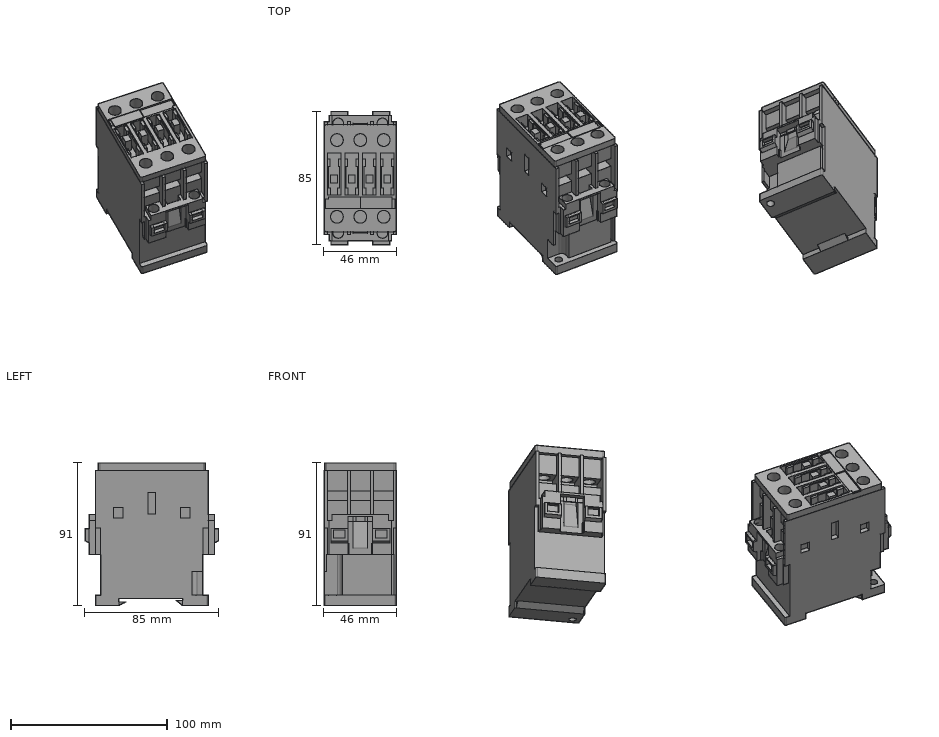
import cadquery as cq

WIDTH = 46.0
LENGTH = 85.0
HEIGHT = 91.0
BODY_LENGTH = 72.0
WAIST_LENGTH = 65.2
HALF_WIDTH = WIDTH / 2
BODY_Y = BODY_LENGTH / 2
WAIST_Y = WAIST_LENGTH / 2
BOTH_ENDS = (-1, 1)
BOTH_SIDES = (-1, 1)

FOOT_TOP = 6.6
BLOCK_BOTTOM = 32.5
WALL_BOTTOM = 49.3
SHOULDER_TOP = 54.1
BLOCK_TOP = 58.1
BODY_TOP = 86.2

FOOT_RADIUS = 0.9
RAIL_DEPTH = 4.4
RAIL_FRONT_Y = -19.6
RAIL_BACK_Y = 21.0
FRONT_HOOK_TIP = (-15.4, 3.3)
FRONT_HOOK_WIDTH = 44.0
BACK_HOOK_TIP = (16.5, 2.3)
BACK_HOOK_WIDTH = 20.0

WALL_THICKNESS = 2.0
INNER_X = HALF_WIDTH - WALL_THICKNESS
CHAMBER_Y = 31.0
RIB_X = 7.3
RIB_WIDTH = 1.9
CLAMP_BOTTOM = 66.85
CLAMP_TOP = 73.0
CLAMP_Y = 20.0

BLOCK_Y = 40.0
BLOCK_HALF_WIDTH = 18.1
SHOULDER_HALF_WIDTH = 19.9
COIL_HOLE_X = 14.1
COIL_HOLE_Y = 34.9
COIL_HOLE_DIAMETER = 6.8
COIL_HOLE_DEPTH = 15.0

RECESS_HALF_WIDTH = 7.9
RECESS_TOP = 56.7
GUIDE_WIDTH = 0.7
GUIDE_DEPTH = 1.5
GUIDE_TOP = 39.6
LATCH_HALF_WIDTH = 4.6
LATCH_TOP = 53.7
LATCH_BOTTOM = 36.6
LATCH_OPENING_Y = 35.0
STRIP_TAB_HALF_WIDTH = 2.9
STRIP_DEPTH = 0.5

CLIP_INNER_X = RECESS_HALF_WIDTH
CLIP_OUTER_X = 18.8
CLIP_TOP = 49.0
CLIP_LIP = 41.3
CLIP_BOTTOM = 39.9
CLIP_POCKET_INNER_X = 9.6
CLIP_POCKET_OUTER_X = 17.0
CLIP_POCKET_TOP = 48.3
CLIP_POCKET_BOTTOM = 43.2

NOTCH_Y = -25.7
NOTCH_X = -11.4
NOTCH_RADIUS = 3.2
NOTCH_SIDE_TOP = 21.6
NOTCH_WALL_X = -21.4
GROOVE_X = 19.95
GROOVE_WIDTH = 1.55
MOUNT_HOLE_X = -17.7
MOUNT_HOLE_Y = -30.5
MOUNT_HOLE_DIAMETER = 4.9

SIDE_SLOT_WIDTH = 5.0
SIDE_SLOT_BOTTOM = 58.4
SIDE_SLOT_TOP = 72.0
SIDE_SLOT_DEPTH = 3.3
SIDE_SQUARE_Y = 21.35
SIDE_SQUARE_WIDTH = 6.0
SIDE_SQUARE_BOTTOM = 55.8
SIDE_SQUARE_TOP = 62.5
SIDE_SQUARE_DEPTH = 3.0

CAP_WIDTH = 45.6
CAP_LENGTH = 68.3
CAP_RADIUS = 1.2
SCREW_PITCH_X = 14.9
SCREW_ROW_SPACING = 48.9
SCREW_CENTER_Y = -0.15
SCREW_HOLE_DIAMETER = 8.1

WINDOW_COUNT = 4
WINDOW_PITCH = 11.3
WINDOW_CENTER_X = 0.2
WINDOW_WIDTH = 8.6
WINDOW_BACK = 16.2
WINDOW_FRONT = -10.7
WINDOW_DEPTH = 10.0
LEDGE_DEPTH = 1.2
LEDGE_BACK = 12.2
UPPER_LEDGE_END = 7.5
LOWER_LEDGE_START = -6.3
UPPER_GAP = 5.4
MIDDLE_GAP = 7.05
LOWER_GAP = 4.7
POST_WIDTH = 4.2
POST_BACK = 2.1
POST_FRONT = -3.1
POST_DROP = 0.6

LABEL_FRONT = -19.2
LABEL_BACK = -11.9
LABEL_EAR_BACK = -13.3
LABEL_HALF_WIDTH = 20.3
LABEL_EAR_HALF_WIDTH = 22.1
LABEL_DEPTH = 1.3
LABEL_PLATE_DROP = 0.4


def box(x0, x1, y0, y1, z0, z1):
    """Box between two corners given in any order."""
    size = (abs(x1 - x0), abs(y1 - y0), abs(z1 - z0))
    return cq.Workplane("XY").box(*size).translate(((x0 + x1) / 2, (y0 + y1) / 2, (z0 + z1) / 2))


def wide_box(half_width, y0, y1, z0, z1):
    """Box centred on X."""
    return box(-half_width, half_width, y0, y1, z0, z1)


def side_prism(points, x0, x1):
    """Prism along X from a closed outline of (y, z) points."""
    return cq.Workplane("YZ").polyline(points).close().extrude(x1 - x0).translate((x0, 0, 0))


def hole(x, y, top, depth, diameter):
    """Vertical cylinder reaching down from the given level."""
    return cq.Workplane("XY").circle(diameter / 2).extrude(depth).translate((x, y, top - depth))


def make_housing():
    foot = wide_box(HALF_WIDTH, -BODY_Y, BODY_Y, 0, FOOT_TOP).edges("|Z").fillet(FOOT_RADIUS)
    waist = wide_box(HALF_WIDTH, -WAIST_Y, WAIST_Y, FOOT_TOP, WALL_BOTTOM)
    block_root = wide_box(INNER_X, -BODY_Y, BODY_Y, BLOCK_BOTTOM, WALL_BOTTOM)
    upper = wide_box(HALF_WIDTH, -BODY_Y, BODY_Y, WALL_BOTTOM, BODY_TOP)
    return foot.union(waist).union(block_root).union(upper)


def cut_rail_channel(part):
    part = part.cut(wide_box(HALF_WIDTH, RAIL_FRONT_Y, RAIL_BACK_Y, 0, RAIL_DEPTH))
    front_hook = [(RAIL_FRONT_Y, 0), FRONT_HOOK_TIP, (RAIL_FRONT_Y, FRONT_HOOK_TIP[1])]
    back_hook = [(RAIL_BACK_Y, 0), BACK_HOOK_TIP, (RAIL_BACK_Y, BACK_HOOK_TIP[1])]
    part = part.union(side_prism(front_hook, -FRONT_HOOK_WIDTH / 2, FRONT_HOOK_WIDTH / 2))
    return part.union(side_prism(back_hook, -BACK_HOOK_WIDTH / 2, BACK_HOOK_WIDTH / 2))


def cut_chambers(part, end):
    """Open the three terminal chambers of one end, with a wire slot in each."""
    rib_inner = RIB_X - RIB_WIDTH / 2
    rib_outer = RIB_X + RIB_WIDTH / 2
    for x0, x1 in ((-INNER_X, -rib_outer), (-rib_inner, rib_inner), (rib_outer, INNER_X)):
        part = part.cut(box(x0, x1, end * CHAMBER_Y, end * BODY_Y, SHOULDER_TOP, BODY_TOP))
        part = part.cut(box(x0, x1, end * CLAMP_Y, end * CHAMBER_Y, CLAMP_BOTTOM, CLAMP_TOP))
    return part


def add_terminal_block(part, end):
    part = part.union(wide_box(BLOCK_HALF_WIDTH, end * CHAMBER_Y, end * BLOCK_Y, BLOCK_BOTTOM, BLOCK_TOP))
    shoulders = wide_box(SHOULDER_HALF_WIDTH, end * BODY_Y, end * BLOCK_Y, BLOCK_BOTTOM, SHOULDER_TOP)
    part = part.union(shoulders)
    for side in BOTH_SIDES:
        part = part.cut(
            hole(side * COIL_HOLE_X, end * COIL_HOLE_Y, BLOCK_TOP, COIL_HOLE_DEPTH, COIL_HOLE_DIAMETER)
        )
    return part


def cut_block_recess(part, end):
    """Central recess with its sloping latch pocket, side strips and corner guides."""
    part = part.cut(wide_box(RECESS_HALF_WIDTH, end * BODY_Y, end * BLOCK_Y, BLOCK_BOTTOM, RECESS_TOP))
    latch = [
        (end * BODY_Y, LATCH_BOTTOM),
        (end * BODY_Y, LATCH_TOP),
        (end * LATCH_OPENING_Y, LATCH_TOP),
        (end * LATCH_OPENING_Y, BLOCK_TOP),
        (end * CHAMBER_Y, BLOCK_TOP),
        (end * CHAMBER_Y, LATCH_TOP),
    ]
    part = part.cut(side_prism(latch, -LATCH_HALF_WIDTH, LATCH_HALF_WIDTH))
    for side in BOTH_SIDES:
        part = part.cut(
            box(
                side * STRIP_TAB_HALF_WIDTH,
                side * RECESS_HALF_WIDTH,
                end * (BODY_Y - STRIP_DEPTH),
                end * BODY_Y,
                LATCH_TOP,
                RECESS_TOP,
            )
        )
        part = part.union(
            box(
                side * (RECESS_HALF_WIDTH - GUIDE_WIDTH),
                side * RECESS_HALF_WIDTH,
                end * BODY_Y,
                end * (BODY_Y + GUIDE_DEPTH),
                BLOCK_BOTTOM,
                GUIDE_TOP,
            )
        )
    return part


def add_clips(part, end):
    """Two hollow clips on the face of a terminal block."""
    tip_y = end * LENGTH / 2
    face_y = end * BLOCK_Y
    outline = [(face_y, CLIP_BOTTOM), (tip_y, CLIP_LIP), (tip_y, CLIP_TOP), (face_y, CLIP_TOP)]
    for x0 in (-CLIP_OUTER_X, CLIP_INNER_X):
        part = part.union(side_prism(outline, x0, x0 + CLIP_OUTER_X - CLIP_INNER_X))
    for side in BOTH_SIDES:
        part = part.cut(
            box(
                side * CLIP_POCKET_INNER_X,
                side * CLIP_POCKET_OUTER_X,
                face_y,
                tip_y,
                CLIP_POCKET_BOTTOM,
                CLIP_POCKET_TOP,
            )
        )
    return part


def cut_front_corner(part):
    """Notch over the mounting hole, and the groove along the opposite edge of the waist."""
    notch = box(NOTCH_WALL_X, NOTCH_X, -WAIST_Y, NOTCH_Y, FOOT_TOP, BLOCK_BOTTOM)
    notch = notch.edges("|Z and >X and >Y").fillet(NOTCH_RADIUS)
    part = part.cut(notch)
    part = part.cut(box(-HALF_WIDTH, NOTCH_WALL_X, -WAIST_Y, NOTCH_Y, FOOT_TOP, NOTCH_SIDE_TOP))
    groove_end = GROOVE_X + GROOVE_WIDTH
    part = part.cut(box(GROOVE_X, groove_end, -WAIST_Y, NOTCH_Y, FOOT_TOP, BLOCK_BOTTOM))
    return part.cut(hole(MOUNT_HOLE_X, MOUNT_HOLE_Y, FOOT_TOP, FOOT_TOP, MOUNT_HOLE_DIAMETER))


def cut_side_pocket(part, y, width, bottom, top, depth):
    return part.cut(
        box(-HALF_WIDTH, depth - HALF_WIDTH, y - width / 2, y + width / 2, bottom, top)
    )


def cut_side_pockets(part):
    part = cut_side_pocket(part, 0, SIDE_SLOT_WIDTH, SIDE_SLOT_BOTTOM, SIDE_SLOT_TOP, SIDE_SLOT_DEPTH)
    for end in BOTH_ENDS:
        part = cut_side_pocket(
            part,
            end * SIDE_SQUARE_Y,
            SIDE_SQUARE_WIDTH,
            SIDE_SQUARE_BOTTOM,
            SIDE_SQUARE_TOP,
            SIDE_SQUARE_DEPTH,
        )
    return part


def add_cap(part):
    cap = wide_box(CAP_WIDTH / 2, -CAP_LENGTH / 2, CAP_LENGTH / 2, BODY_TOP, HEIGHT)
    return part.union(cap.edges("|Z").fillet(CAP_RADIUS))


def cut_screw_holes(part):
    """Screw access holes from the cap face down to the wire slots."""
    for end in BOTH_ENDS:
        for column in (-1, 0, 1):
            part = part.cut(
                hole(
                    column * SCREW_PITCH_X,
                    SCREW_CENTER_Y + end * SCREW_ROW_SPACING / 2,
                    HEIGHT,
                    HEIGHT - CLAMP_TOP,
                    SCREW_HOLE_DIAMETER,
                )
            )
    return part


def make_window(center_x):
    """Void of one contact window: a shallow mouth over a stepped well around a post."""
    floor = HEIGHT - WINDOW_DEPTH
    ledge = HEIGHT - LEDGE_DEPTH
    half = WINDOW_WIDTH / 2
    window = wide_box(half, WINDOW_FRONT, WINDOW_BACK, ledge, HEIGHT)
    window = window.union(wide_box(half, LEDGE_BACK, WINDOW_BACK, floor, ledge))
    window = window.union(wide_box(UPPER_GAP / 2, UPPER_LEDGE_END, LEDGE_BACK, floor, ledge))
    window = window.union(wide_box(MIDDLE_GAP / 2, LOWER_LEDGE_START, UPPER_LEDGE_END, floor, ledge))
    window = window.union(wide_box(LOWER_GAP / 2, WINDOW_FRONT, LOWER_LEDGE_START, floor, ledge))
    post = wide_box(POST_WIDTH / 2, POST_FRONT, POST_BACK, floor, HEIGHT - POST_DROP)
    return window.cut(post).translate((center_x, 0, 0))


def cut_windows(part):
    first_x = WINDOW_CENTER_X - WINDOW_PITCH * (WINDOW_COUNT - 1) / 2
    for index in range(WINDOW_COUNT):
        part = part.cut(make_window(first_x + index * WINDOW_PITCH))
    return part


def cut_label_recess(part):
    """Label recess with side ears; a label plate fills its +X half."""
    floor = HEIGHT - LABEL_DEPTH
    part = part.cut(wide_box(LABEL_HALF_WIDTH, LABEL_FRONT, LABEL_BACK, floor, HEIGHT))
    part = part.cut(wide_box(LABEL_EAR_HALF_WIDTH, LABEL_FRONT, LABEL_EAR_BACK, floor, HEIGHT))
    plate = box(0, LABEL_HALF_WIDTH, LABEL_FRONT, LABEL_BACK, floor, HEIGHT - LABEL_PLATE_DROP)
    return part.union(plate)


result = cut_rail_channel(make_housing())
for end in BOTH_ENDS:
    result = cut_chambers(result, end)
    result = add_terminal_block(result, end)
    result = cut_block_recess(result, end)
    result = add_clips(result, end)
result = cut_front_corner(result)
result = cut_side_pockets(result)
result = add_cap(result)
result = cut_screw_holes(result)
result = cut_windows(result)
result = cut_label_recess(result)